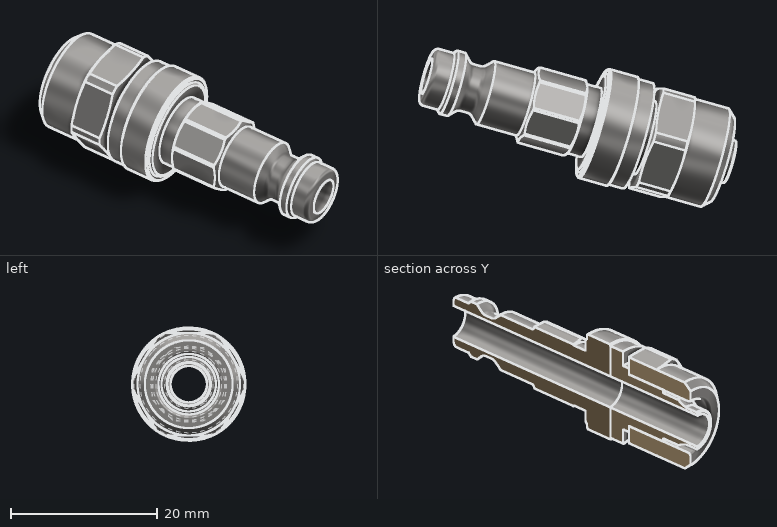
import cadquery as cq
import math

LENGTH = 43.5
FLOW_BORE = 4.95

NUT_START = 1.17
NUT_HEX_START = 7.25
NUT_END = 12.22
NUT_DIAMETER = 14.0
NUT_FACE_DIAMETER = 12.0
NUT_CHAMFER_LENGTH = 1.1
NUT_HEX_SIDES = 6
NUT_HEX_FLATS = 14.0
NUT_HEX_CORNERS = 15.5
NUT_BEVEL_ANGLE = 15.0
HOSE_BORE = 8.25
HOSE_ENTRY_RADIUS = 0.52

STEM_TIP_DIAMETER = 6.05
STEM_TIP_CHAMFER = 0.15
BARB_START = 2.1
BARB_END = 3.5
BARB_DIAMETER = 7.45
BARB_SHOULDER = 6.1
NECK_DIAMETER = 10.4
STEM_COLLAR_START = 13.22
STEM_COLLAR_DIAMETER = 15.0

PLUG_START = 15.55
COLLAR_DIAMETER = 15.5
COLLAR_CHAMFER = 0.2
COLLAR_CHAMFER_START = 19.5
COLLAR_END = 19.95
RIM_START_DIAMETER = 14.0
RIM_END_DIAMETER = 13.3
PLUG_NECK_DIAMETER = 9.85
OCTAGON_START = 22.0
OCTAGON_END = 29.35
OCTAGON_SIDES = 8
OCTAGON_FLATS = 10.05
OCTAGON_CORNERS = 10.75
OCTAGON_BEVEL_ANGLE = 30.0

SHANK_DIAMETER = 9.0
SHANK_END = 35.1
GROOVE_DIAMETER = 6.65
GROOVE_FILLET_RADIUS = 0.85
GROOVE_CONE_ANGLE = 45.0
GROOVE_FLAT_START = 36.65
GROOVE_FLAT_END = 37.75
FLANGE_START = 39.3
FLANGE_END = 40.35
PLUG_TIP_DIAMETER = 8.1
PLUG_TIP_ROUND = 0.65


def cylinder(start, end, diameter):
    """Round bar along X from start to end."""
    return cq.Workplane("YZ", origin=(start, 0, 0)).circle(diameter / 2).extrude(end - start)


def revolve_profile(profile):
    """Revolve a closed profile, drawn as (x, radius), about the X axis."""
    return profile.close().revolve(360, (0, 0, 0), (1, 0, 0))


def wrench_section(start, end, sides, flats, corners, start_face, end_face, bevel_angle, turn):
    """Polygonal bar whose corners are trimmed round and beveled down to each end face diameter."""
    polygon = (
        cq.Workplane("YZ", origin=(start, 0, 0))
        .polygon(sides, flats / math.cos(math.pi / sides))
        .extrude(end - start)
        .rotate((0, 0, 0), (1, 0, 0), turn)
    )
    slope = math.tan(math.radians(bevel_angle))
    envelope = revolve_profile(
        cq.Workplane("XY")
        .moveTo(start, 0)
        .lineTo(start, start_face / 2)
        .lineTo(start + slope * (corners - start_face) / 2, corners / 2)
        .lineTo(end - slope * (corners - end_face) / 2, corners / 2)
        .lineTo(end, end_face / 2)
        .lineTo(end, 0)
    )
    return polygon.intersect(envelope)


def make_nut():
    sleeve = revolve_profile(
        cq.Workplane("XY")
        .moveTo(NUT_START, 0)
        .lineTo(NUT_START, NUT_FACE_DIAMETER / 2)
        .lineTo(NUT_START + NUT_CHAMFER_LENGTH, NUT_DIAMETER / 2)
        .lineTo(NUT_HEX_START, NUT_DIAMETER / 2)
        .lineTo(NUT_HEX_START, 0)
    )
    hexagon = wrench_section(
        start=NUT_HEX_START,
        end=NUT_END,
        sides=NUT_HEX_SIDES,
        flats=NUT_HEX_FLATS,
        corners=NUT_HEX_CORNERS,
        start_face=NUT_DIAMETER,
        end_face=NUT_DIAMETER,
        bevel_angle=NUT_BEVEL_ANGLE,
        turn=0,
    )
    nut = sleeve.union(hexagon).cut(cylinder(NUT_START, NUT_END, HOSE_BORE))
    entry_edge = cq.selectors.RadiusNthSelector(0)
    return nut.faces("<X").edges(entry_edge).fillet(HOSE_ENTRY_RADIUS)


def make_stem():
    tip_radius = STEM_TIP_DIAMETER / 2
    stem = revolve_profile(
        cq.Workplane("XY")
        .moveTo(0, 0)
        .lineTo(0, tip_radius - STEM_TIP_CHAMFER)
        .lineTo(STEM_TIP_CHAMFER, tip_radius)
        .lineTo(BARB_START, tip_radius)
        .lineTo(BARB_END, BARB_DIAMETER / 2)
        .lineTo(BARB_SHOULDER, BARB_DIAMETER / 2)
        .lineTo(BARB_SHOULDER, HOSE_BORE / 2)
        .lineTo(NUT_END, HOSE_BORE / 2)
        .lineTo(NUT_END, NECK_DIAMETER / 2)
        .lineTo(STEM_COLLAR_START, NECK_DIAMETER / 2)
        .lineTo(STEM_COLLAR_START, STEM_COLLAR_DIAMETER / 2)
        .lineTo(PLUG_START, STEM_COLLAR_DIAMETER / 2)
        .lineTo(PLUG_START, 0)
    )
    return stem.cut(cylinder(0, PLUG_START, FLOW_BORE))


def make_collar():
    collar_radius = COLLAR_DIAMETER / 2
    rim_start = COLLAR_CHAMFER_START + COLLAR_CHAMFER
    return revolve_profile(
        cq.Workplane("XY")
        .moveTo(PLUG_START, 0)
        .lineTo(PLUG_START, collar_radius)
        .lineTo(COLLAR_CHAMFER_START, collar_radius)
        .lineTo(rim_start, collar_radius - COLLAR_CHAMFER)
        .lineTo(rim_start, RIM_START_DIAMETER / 2)
        .lineTo(COLLAR_END, RIM_END_DIAMETER / 2)
        .lineTo(COLLAR_END, 0)
    )


def make_locking_end():
    """Shank, rounded locking groove, flange and tip of the plug."""
    shank_radius = SHANK_DIAMETER / 2
    groove_radius = GROOVE_DIAMETER / 2
    tip_radius = PLUG_TIP_DIAMETER / 2

    angle = math.radians(GROOVE_CONE_ANGLE)
    fillet_run = GROOVE_FILLET_RADIUS * math.sin(angle)
    fillet_rise = GROOVE_FILLET_RADIUS * (1 - math.cos(angle))
    middle_run = GROOVE_FILLET_RADIUS * math.sin(angle / 2)
    middle_rise = GROOVE_FILLET_RADIUS * (1 - math.cos(angle / 2))
    flange_chamfer = shank_radius - tip_radius

    profile = (
        cq.Workplane("XY")
        .moveTo(OCTAGON_END, 0)
        .lineTo(OCTAGON_END, shank_radius)
        .lineTo(SHANK_END, shank_radius)
        .lineTo(GROOVE_FLAT_START - fillet_run, groove_radius + fillet_rise)
        .threePointArc(
            (GROOVE_FLAT_START - middle_run, groove_radius + middle_rise),
            (GROOVE_FLAT_START, groove_radius),
        )
        .lineTo(GROOVE_FLAT_END, groove_radius)
        .threePointArc(
            (GROOVE_FLAT_END + middle_run, groove_radius + middle_rise),
            (GROOVE_FLAT_END + fillet_run, groove_radius + fillet_rise),
        )
        .lineTo(FLANGE_START, shank_radius)
        .lineTo(FLANGE_END, shank_radius)
        .lineTo(FLANGE_END + flange_chamfer, tip_radius)
        .lineTo(LENGTH, tip_radius)
        .lineTo(LENGTH, 0)
    )
    return revolve_profile(profile).faces(">X").edges().fillet(PLUG_TIP_ROUND)


def make_plug():
    neck = cylinder(COLLAR_END, OCTAGON_START, PLUG_NECK_DIAMETER)
    octagon = wrench_section(
        start=OCTAGON_START,
        end=OCTAGON_END,
        sides=OCTAGON_SIDES,
        flats=OCTAGON_FLATS,
        corners=OCTAGON_CORNERS,
        start_face=PLUG_NECK_DIAMETER,
        end_face=SHANK_DIAMETER,
        bevel_angle=OCTAGON_BEVEL_ANGLE,
        turn=180 / OCTAGON_SIDES,
    )
    plug = make_collar().union(neck).union(octagon).union(make_locking_end())
    return plug.cut(cylinder(PLUG_START, LENGTH, FLOW_BORE))


nut = make_nut()
stem = make_stem()
plug = make_plug()

result = cq.Compound.makeCompound([nut.val(), stem.val(), plug.val()])